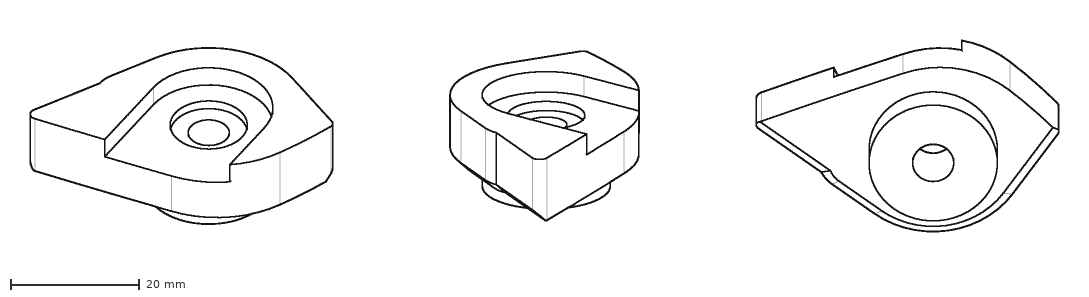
import cadquery as cq
import math

body_height = 10.45
boss_height = 4.8
boss_diameter = 20.0
bore_diameter = 6.4
counterbore_diameter = 12.0
counterbore_depth = 1.55
pocket_radius = 10.0
pocket_depth = 3.4
pocket_tilt = 5.0
pocket_reach = 26.32
chamfer = 1.75

back_radius = 15.0
left_flank_angle = 58.2
right_flank_angle = 35.1
step_top_y = 0.8
step_bottom = (-18.0, -1.7)
front_y = -14.0
front_bulge = 0.1
front_end_x = 0.18
front_radius = 16.65
front_arc_end_angle = -29.0
right_tip_x = 19.5
left_tip_radius = 1.27
right_tip_radius = 1.0


def polar(radius, degrees, center=(0, 0)):
    angle = math.radians(degrees)
    return (center[0] + radius * math.cos(angle), center[1] + radius * math.sin(angle))


left_slope = math.tan(math.radians(left_flank_angle))
right_slope = math.tan(math.radians(right_flank_angle))

back_left = polar(back_radius, 90 + left_flank_angle)
back_right = polar(back_radius, 90 - right_flank_angle)
step_top = (back_left[0] - (back_left[1] - step_top_y) / left_slope, step_top_y)
left_tip = (step_bottom[0] - (step_bottom[1] - front_y) / left_slope, front_y)
right_tip = (right_tip_x, back_right[1] - (right_tip_x - back_right[0]) * right_slope)
front_end = (front_end_x, front_y)
front_middle = ((left_tip[0] + front_end_x) / 2, front_y - front_bulge)
front_center = (front_end_x, front_y + front_radius)
front_arc_middle = polar(front_radius, (front_arc_end_angle - 90) / 2, front_center)
front_arc_end = polar(front_radius, front_arc_end_angle, front_center)


def sharp_body():
    """Body with both tips still sharp."""
    outline = (
        cq.Workplane("XY")
        .moveTo(*left_tip)
        .threePointArc(front_middle, front_end)
        .threePointArc(front_arc_middle, front_arc_end)
        .tangentArcPoint(right_tip, relative=False)
        .lineTo(*back_right)
        .threePointArc((0, back_radius), back_left)
        .lineTo(*step_top)
        .tangentArcPoint(step_bottom, relative=False)
        .close()
    )
    return outline.extrude(body_height)


def tip_edge(tip):
    return cq.selectors.NearestToPointSelector((tip[0], tip[1], body_height / 2))


def lower_edge(point):
    return cq.selectors.NearestToPointSelector((point[0], point[1], 0))


def midpoint(start, end):
    return ((start[0] + end[0]) / 2, (start[1] + end[1]) / 2)


def make_body():
    """Chamfer the lower back edges up to the sharp tips, then round the tips through the chamfer."""
    sharp = sharp_body()
    rounded = sharp.edges(tip_edge(left_tip)).fillet(left_tip_radius)
    rounded = rounded.edges(tip_edge(right_tip)).fillet(right_tip_radius)
    chamfered_edges = (
        sharp.edges(lower_edge(midpoint(right_tip, back_right)))
        .add(sharp.edges(lower_edge((0, back_radius))))
        .add(sharp.edges(lower_edge(midpoint(back_left, step_top))))
        .add(sharp.edges(lower_edge(midpoint(step_top, step_bottom))))
        .add(sharp.edges(lower_edge(midpoint(step_bottom, left_tip))))
    )
    return chamfered_edges.chamfer(chamfer).intersect(rounded)


def make_pocket():
    """Round-ended pocket open towards the front."""
    pocket = (
        cq.Workplane("XY", origin=(0, 0, body_height - pocket_depth))
        .moveTo(-pocket_radius, -pocket_reach)
        .lineTo(-pocket_radius, 0)
        .threePointArc((0, pocket_radius), (pocket_radius, 0))
        .lineTo(pocket_radius, -pocket_reach)
        .close()
        .extrude(pocket_depth)
    )
    return pocket.rotate((0, 0, 0), (0, 0, 1), -pocket_tilt)


def make_hole():
    """Through bore with a counterbore sunk into the pocket floor."""
    bore = cq.Workplane("XY", origin=(0, 0, -boss_height)).circle(bore_diameter / 2)
    counterbore = cq.Workplane("XY", origin=(0, 0, body_height - pocket_depth)).circle(counterbore_diameter / 2)
    return bore.extrude(boss_height + body_height).union(counterbore.extrude(-counterbore_depth))


boss = cq.Workplane("XY").circle(boss_diameter / 2).extrude(-boss_height)
result = make_body().union(boss).cut(make_pocket()).cut(make_hole())